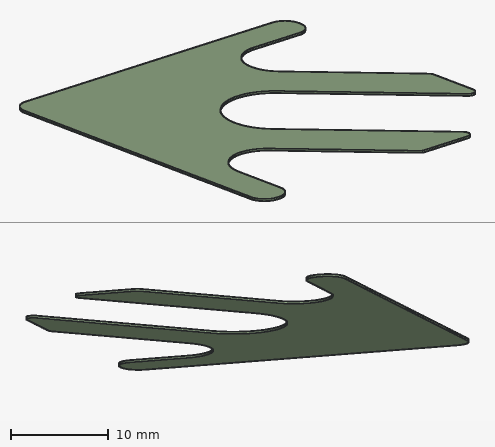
import cadquery as cq
import math

side = 38.1
thickness = 0.25
arm_width = 4.1
corner_radius = 1.9
tip_radius = 0.75
slot_radius = 5.55
pocket_radius = 4.05
pocket_depth_y = 25.85

slot_center = side / 2
pocket_x = arm_width + pocket_radius
pocket_y = pocket_depth_y + pocket_radius
diagonal = math.sqrt(0.5)

inner_rise = slot_radius / diagonal
outer_rise = pocket_y - pocket_x - pocket_radius / diagonal


def mirrored(point):
    """Reflect a point across the diagonal y = x."""
    x, y = point
    return (y, x)


arm_tip = (arm_width, side)
pocket_start = (arm_width, pocket_y)
pocket_bottom = (pocket_x, pocket_depth_y)
pocket_end = (pocket_x + pocket_radius * diagonal, pocket_y - pocket_radius * diagonal)
tine_outer_tip = (side - outer_rise, side)
tine_inner_tip = (side - inner_rise, side)
slot_start = (slot_center - slot_radius * diagonal, slot_center + slot_radius * diagonal)
slot_bottom = (slot_center - slot_radius * diagonal, slot_center - slot_radius * diagonal)

plate = (
    cq.Workplane("XY")
    .moveTo(0, 0)
    .lineTo(0, side)
    .lineTo(*arm_tip)
    .lineTo(*pocket_start)
    .threePointArc(pocket_bottom, pocket_end)
    .lineTo(*tine_outer_tip)
    .lineTo(*tine_inner_tip)
    .lineTo(*slot_start)
    .threePointArc(slot_bottom, mirrored(slot_start))
    .lineTo(*mirrored(tine_inner_tip))
    .lineTo(*mirrored(tine_outer_tip))
    .lineTo(*mirrored(pocket_end))
    .threePointArc(mirrored(pocket_bottom), mirrored(pocket_start))
    .lineTo(*mirrored(arm_tip))
    .lineTo(side, 0)
    .close()
    .extrude(thickness)
)


def round_corners(body, points, radius):
    """Fillet the vertical edges that stand on the given outline points."""
    for x, y in points:
        edge = cq.selectors.NearestToPointSelector((x, y, thickness / 2))
        body = body.edges("|Z").edges(edge).fillet(radius)
    return body


arm_corners = [(0, 0), (0, side), arm_tip, (side, 0), mirrored(arm_tip)]
tine_corners = [
    tine_outer_tip,
    tine_inner_tip,
    mirrored(tine_outer_tip),
    mirrored(tine_inner_tip),
]

plate = round_corners(plate, arm_corners, corner_radius)
result = round_corners(plate, tine_corners, tip_radius)